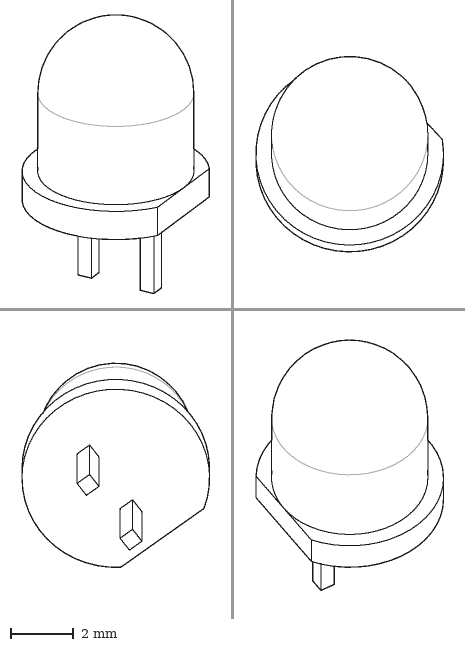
import cadquery as cq

total_height = 9.28
body_diameter = 5.0
flange_diameter = 6.0
flange_thickness = 1.0

lead_length = 3.01
lead_width = 0.5
lead_pitch = 2.3

body_radius = body_diameter / 2
flange_radius = flange_diameter / 2
flange_top = lead_length + flange_thickness
dome_base = total_height - body_radius


def make_flange():
    """Round flange with a flat on +X, tangent to the body."""
    disc = cq.Workplane("XY").workplane(offset=lead_length).circle(flange_radius).extrude(flange_thickness)
    keep_length = flange_radius + body_radius
    keep_box = cq.Workplane("XY").box(
        keep_length, flange_diameter, total_height, centered=(False, True, False)
    ).translate((-flange_radius, 0, 0))
    return disc.intersect(keep_box)


def make_lens():
    """Cylindrical body with a hemispherical dome, revolved about Z."""
    arc_offset = body_radius * 0.5 ** 0.5
    return (
        cq.Workplane("XZ")
        .moveTo(0, lead_length)
        .lineTo(body_radius, lead_length)
        .lineTo(body_radius, dome_base)
        .threePointArc((arc_offset, dome_base + arc_offset), (0, total_height))
        .close()
        .revolve(360, (0, 0, 0), (0, 1, 0))
    )


def make_lead(x_center):
    """Square lead with one side on the XZ plane, extending toward +Y."""
    return (
        cq.Workplane("XY")
        .center(x_center, lead_width / 2)
        .rect(lead_width, lead_width)
        .extrude(flange_top)
    )


result = make_flange().union(make_lens())
for side in (-1, 1):
    result = result.union(make_lead(side * lead_pitch / 2))